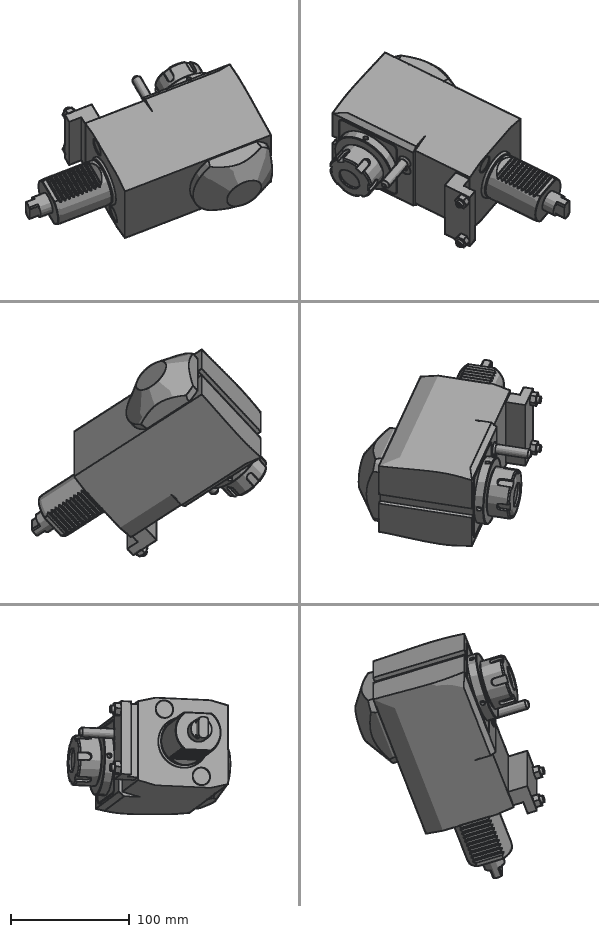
import cadquery as cq
import math


HALF_HEIGHT = 37.5
EDGE_HEIGHT = 33.73
BODY_LENGTH = 136.0
BODY_HALF_WIDTH = 39.0
CHAMFER_START_X = 23.8
HEAD_START_Y = 55.0
HEAD_FACE_X = -42.0
HEAD_CHAMFER_X = -37.4
CHAMFER_SLOPE = (HALF_HEIGHT - EDGE_HEIGHT) / (BODY_HALF_WIDTH - CHAMFER_START_X)
REAR_EDGE_END_Y = BODY_LENGTH - (HALF_HEIGHT - EDGE_HEIGHT) / CHAMFER_SLOPE
REAR_EDGE_CURVE = [
    (HEAD_FACE_X, REAR_EDGE_END_Y),
    (HEAD_CHAMFER_X, 123.9),
    (-25.8, 130.7),
    (-12.7, 132.9),
    (-0.4, 131.2),
    (CHAMFER_START_X, 124.2),
    (BODY_HALF_WIDTH, REAR_EDGE_END_Y),
]
KEYWAY_WIDTH = 9.4
KEYWAY_DEPTH = 4.0
PLUG_RADIUS = 7.5
PLUG_RECESS = 1.0
PLUG_X = 16.0
PLUG_Z = 28.0

SHANK_RADIUS = 20.0
SHANK_LENGTH = 53.0
SHANK_RELIEF_RADIUS = 19.5
SHANK_RELIEF_END = 3.3
SHANK_TIP_RADIUS = 19.6
SHANK_TAPER_LENGTH = 3.2
SHANK_TIP_CHAMFER = 0.4
COLLAR_RADIUS = 21.5
COLLAR_LENGTH = 2.0
COLLAR_ROUNDING = 0.9
FLAT_Z = 16.0
TOOTH_COUNT = 10
TOOTH_PITCH = 4.0
TOOTH_DEPTH = 1.4
TOOTH_LAND = (TOOTH_PITCH - 2 * TOOTH_DEPTH) / 2
FIRST_ROOT_Y = -11.5
TENON_RADIUS = 9.0
TENON_STEP_Y = -64.0
TENON_TIP_Y = -72.0
TONGUE_HALF_WIDTH = 4.1
TONGUE_ROOT_FILLET = 0.8
TONGUE_TIP_HALF_WIDTH = 3.15
TONGUE_FLAT_HALF_HEIGHT = 6.6

SPINDLE_Y = 100.0
FLANGE_RADIUS = 28.5
FLANGE_FACE_X = -50.2
FLANGE_CHAMFER = 0.6
FLANGE_HOLE_RADIUS = 2.0
FLANGE_HOLE_DEPTH = 4.0
FLANGE_HOLE_COUNT = 4
DRILL_POINT_ANGLE = 30.0
NECK_RADIUS = 19.5
NUT_RADIUS = 21.0
NUT_BACK_X = -51.0
NUT_CHAMFER_X = -68.8
NUT_SHOULDER_X = -70.2
NUT_SHOULDER_RADIUS = 20.0
NUT_FACE_X = -71.5
NUT_FACE_RADIUS = 15.3
COLLET_BORE_RADIUS = 10.2
COLLET_BORE_DEPTH = 2.0
SLOT_COUNT = 6
FIRST_SLOT_ANGLE = 90.0
SLOT_WIDTH = 6.5
SLOT_FLOOR_RADIUS = 18.1
SHORT_SLOT_END_X = -59.6
LONG_SLOT_END_X = -57.4

COVER_START_Y = 71.3
COVER_END_Y = 129.6
COVER_HALF_HEIGHT = 31.4
COVER_CORNER = 5.0
SEAM_WIDTH = 0.6
SEAM_DEPTH = 0.3
PIN_Y = 63.4
PIN_Z = 17.3
PIN_RADIUS = 4.0
PIN_TIP_X = -74.14
PIN_TIP_RADIUS = 2.1
PIN_TIP_LENGTH = 2.1
PIN_BASE_RADIUS = 5.9
PIN_BASE_LENGTH = 1.8
SCREW_Z = 7.6
SCREW_RECESS = 0.3
SCREW_SOCKET_ACROSS = 3.5
SCREW_SOCKET_DEPTH = 2.0

BRACKET_HALF_HEIGHT = 31.2
BRACKET_FACE_X = -56.0
BRACKET_INNER_X = -47.7
BRACKET_TOP_Y = 14.2
BRACKET_STEP_Y = 0.5
BRACKET_END_Y = -10.8
BOLT_Y = -5.0
BOLT_Z = 25.0
BOLT_NUT_ACROSS = 10.0
BOLT_NUT_THICKNESS = 5.0
BOLT_RADIUS = 3.0
BOLT_PROJECTION = 8.2
BOLT_CHAMFER = 0.5
BOLT_SOCKET_ACROSS = 3.0
BOLT_SOCKET_DEPTH = 1.5

CAP_RADIUS = 39.6
CAP_RIM_X = 45.2
CAP_FACE_X = 62.0
CAP_FACE_RADIUS = 16.0
CAP_TOP_Y = 131.5
CAP_HALF_HEIGHT = 32.4
CAP_SLOPE_START_X = 41.4
CAP_SLOPE = 0.235

OVERLAP = 2.0


def box(x0, x1, y0, y1, z0, z1):
    """Box given by its limits."""
    return cq.Workplane("XY").box(x1 - x0, y1 - y0, z1 - z0, centered=False).translate((x0, y0, z0))


def disc_x(x0, x1, radius, y, z):
    """Cylinder along X between x0 and x1."""
    return cq.Workplane("YZ", origin=(x0, y, z)).circle(radius).extrude(x1 - x0)


def hexagon_x(x0, x1, across_flats, y, z):
    """Hexagonal prism along X with two corners on the Y direction."""
    across_corners = across_flats / math.cos(math.pi / 6)
    return cq.Workplane("YZ", origin=(x0, y, z)).polygon(6, across_corners).extrude(x1 - x0)


def turned_x(profile, y, z):
    """Solid turned about an axis along X; profile points are (x, radius)."""
    outline = cq.Workplane("XY").polyline(profile).close()
    return outline.revolve(360, (0, 0, 0), (1, 0, 0)).translate((0, y, z))


def both_sides(solid):
    """The solid together with its mirror image across the XY plane."""
    return solid.union(solid.mirror("XY"))


def prism_y(section, y0, y1):
    """Prism along Y; section points are (x, z)."""
    return cq.Workplane("XZ", origin=(0, y0, 0)).polyline(section).close().extrude(y0 - y1)


def symmetric_section(upper):
    """Close an upper half outline with its mirror image below Z = 0."""
    return upper + [(x, -z) for x, z in reversed(upper)]


def rear_edge_cutter():
    """Material above the rear slope, swept down from the curved rear edge of the top face."""
    outside_y = BODY_LENGTH + OVERLAP
    region = (
        cq.Workplane("XY", origin=(0, 0, HALF_HEIGHT))
        .moveTo(*REAR_EDGE_CURVE[0])
        .spline(REAR_EDGE_CURVE[1:], includeCurrent=True)
        .lineTo(BODY_HALF_WIDTH, outside_y)
        .lineTo(HEAD_FACE_X, outside_y)
        .close()
    )
    run = outside_y - REAR_EDGE_END_Y
    direction = cq.Vector(0, run, -run * CHAMFER_SLOPE)
    return cq.Workplane(cq.Solid.extrudeLinear(region.val(), [], direction))


def housing():
    lower_upper_half = [
        (-BODY_HALF_WIDTH, EDGE_HEIGHT),
        (-CHAMFER_START_X, HALF_HEIGHT),
        (CHAMFER_START_X, HALF_HEIGHT),
        (BODY_HALF_WIDTH, EDGE_HEIGHT),
    ]
    head_upper_half = [
        (HEAD_FACE_X, EDGE_HEIGHT),
        (HEAD_CHAMFER_X, HALF_HEIGHT),
        (CHAMFER_START_X, HALF_HEIGHT),
        (BODY_HALF_WIDTH, EDGE_HEIGHT),
    ]
    lower = prism_y(symmetric_section(lower_upper_half), 0, HEAD_START_Y)
    head = prism_y(symmetric_section(head_upper_half), HEAD_START_Y, BODY_LENGTH)
    head = head.cut(both_sides(rear_edge_cutter()))
    return lower.union(head)


def keyway():
    """Slot across the rear face, running the full width."""
    half = KEYWAY_WIDTH / 2
    return box(HEAD_FACE_X, BODY_HALF_WIDTH, BODY_LENGTH - KEYWAY_DEPTH, BODY_LENGTH, -half, half)


def plug_recesses():
    """Two shallow round recesses on the shank-side face, placed diagonally."""
    centres = [(-PLUG_X, PLUG_Z), (PLUG_X, -PLUG_Z)]
    return cq.Workplane("XZ").pushPoints(centres).circle(PLUG_RADIUS).extrude(-PLUG_RECESS)


def rack_cutter():
    """Flat with 45 degree run-out and trapezoidal teeth on the +Z side of the shank."""
    runout_end = FIRST_ROOT_Y + (TOOTH_PITCH + TOOTH_LAND) / 2
    rise = SHANK_RADIUS - FLAT_Z
    tip = -SHANK_LENGTH - OVERLAP
    outline = [(runout_end + rise, SHANK_RADIUS), (runout_end, FLAT_Z)]
    for index in range(TOOTH_COUNT):
        root = FIRST_ROOT_Y - index * TOOTH_PITCH
        half_root = TOOTH_LAND / 2
        half_mouth = half_root + TOOTH_DEPTH
        outline += [
            (root + half_mouth, FLAT_Z),
            (root + half_root, FLAT_Z - TOOTH_DEPTH),
            (root - half_root, FLAT_Z - TOOTH_DEPTH),
            (root - half_mouth, FLAT_Z),
        ]
    outline += [(tip, FLAT_Z), (tip, SHANK_RADIUS)]
    return cq.Workplane("YZ").polyline(outline).close().extrude(SHANK_RADIUS, both=True)


def shank():
    profile = [
        (0, OVERLAP),
        (SHANK_RELIEF_RADIUS, OVERLAP),
        (SHANK_RELIEF_RADIUS, -SHANK_RELIEF_END),
        (SHANK_RADIUS, -SHANK_RELIEF_END),
        (SHANK_RADIUS, SHANK_TAPER_LENGTH - SHANK_LENGTH),
        (SHANK_TIP_RADIUS, -SHANK_LENGTH),
        (0, -SHANK_LENGTH),
    ]
    turned = cq.Workplane("XY").polyline(profile).close().revolve(360, (0, 0, 0), (0, 1, 0))
    collar = cq.Workplane("XZ").circle(COLLAR_RADIUS).extrude(COLLAR_LENGTH)
    collar = collar.faces("<Y").edges().fillet(COLLAR_ROUNDING)
    toothed = turned.cut(both_sides(rack_cutter()))
    toothed = toothed.faces("<Y").edges().chamfer(SHANK_TIP_CHAMFER)
    return toothed.union(collar)


def drive_tenon():
    """Round stub ending in a flat tongue with bevelled corners."""
    start_y = -SHANK_LENGTH + OVERLAP
    stub = cq.Workplane("XZ", origin=(0, start_y, 0)).circle(TENON_RADIUS).extrude(start_y - TENON_TIP_Y)
    bevel_end_z = math.sqrt(TENON_RADIUS**2 - TONGUE_TIP_HALF_WIDTH**2)
    upper_half = [
        (-TONGUE_HALF_WIDTH, TONGUE_FLAT_HALF_HEIGHT),
        (-TONGUE_TIP_HALF_WIDTH, bevel_end_z),
        (-TONGUE_TIP_HALF_WIDTH, TENON_RADIUS),
        (TONGUE_TIP_HALF_WIDTH, TENON_RADIUS),
        (TONGUE_TIP_HALF_WIDTH, bevel_end_z),
        (TONGUE_HALF_WIDTH, TONGUE_FLAT_HALF_HEIGHT),
    ]
    keep = prism_y(symmetric_section(upper_half), TENON_TIP_Y, TENON_STEP_Y)
    reach = TENON_RADIUS + OVERLAP
    around = box(-reach, reach, TENON_TIP_Y, TENON_STEP_Y, -reach, reach).cut(keep)
    stub = stub.cut(around)
    margin = TONGUE_ROOT_FILLET
    root_edges = cq.selectors.BoxSelector(
        (-TONGUE_HALF_WIDTH - margin, TENON_STEP_Y - margin, -margin),
        (TONGUE_HALF_WIDTH + margin, TENON_STEP_Y + margin, margin),
    )
    return stub.edges(root_edges).fillet(TONGUE_ROOT_FILLET)


def spindle_flange():
    profile = [
        (HEAD_FACE_X + OVERLAP, 0),
        (HEAD_FACE_X + OVERLAP, FLANGE_RADIUS),
        (FLANGE_FACE_X + FLANGE_CHAMFER, FLANGE_RADIUS),
        (FLANGE_FACE_X, FLANGE_RADIUS - FLANGE_CHAMFER),
        (FLANGE_FACE_X, 0),
    ]
    flange = turned_x(profile, 0, 0)
    hole_x = (HEAD_FACE_X + FLANGE_FACE_X) / 2
    hole_floor = FLANGE_RADIUS - FLANGE_HOLE_DEPTH
    point_depth = FLANGE_HOLE_RADIUS * math.tan(math.radians(DRILL_POINT_ANGLE))
    hole_profile = [
        (0, hole_floor - point_depth),
        (FLANGE_HOLE_RADIUS, hole_floor),
        (FLANGE_HOLE_RADIUS, FLANGE_RADIUS + OVERLAP),
        (0, FLANGE_RADIUS + OVERLAP),
    ]
    hole = cq.Workplane("XZ").polyline(hole_profile).close().revolve(360, (0, 0, 0), (0, 1, 0))
    hole = hole.translate((hole_x, 0, 0))
    for index in range(FLANGE_HOLE_COUNT):
        angle = index * 360 / FLANGE_HOLE_COUNT
        flange = flange.cut(hole.rotate((0, 0, 0), (1, 0, 0), angle))
    return flange.translate((0, SPINDLE_Y, 0))


def wrench_slot(end_x):
    """Flat-bottomed slot on the +Z side of the nut with a round end at end_x."""
    half_width = SLOT_WIDTH / 2
    return (
        cq.Workplane("XY", origin=(0, 0, SLOT_FLOOR_RADIUS))
        .moveTo(NUT_FACE_X - OVERLAP, -half_width)
        .lineTo(end_x - half_width, -half_width)
        .threePointArc((end_x, 0), (end_x - half_width, half_width))
        .lineTo(NUT_FACE_X - OVERLAP, half_width)
        .close()
        .extrude(NUT_RADIUS)
    )


def collet_nut():
    profile = [
        (FLANGE_FACE_X + OVERLAP, 0),
        (FLANGE_FACE_X + OVERLAP, NECK_RADIUS),
        (NUT_BACK_X, NECK_RADIUS),
        (NUT_BACK_X, NUT_RADIUS),
        (NUT_CHAMFER_X, NUT_RADIUS),
        (NUT_SHOULDER_X, NUT_SHOULDER_RADIUS),
        (NUT_FACE_X, NUT_FACE_RADIUS),
        (NUT_FACE_X, COLLET_BORE_RADIUS),
        (NUT_FACE_X + COLLET_BORE_DEPTH, COLLET_BORE_RADIUS),
        (NUT_FACE_X + COLLET_BORE_DEPTH, 0),
    ]
    nut = turned_x(profile, 0, 0)
    for index in range(SLOT_COUNT):
        on_y_direction = index % (SLOT_COUNT // 2) == 0
        slot = wrench_slot(SHORT_SLOT_END_X if on_y_direction else LONG_SLOT_END_X)
        angle = FIRST_SLOT_ANGLE + index * 360 / SLOT_COUNT
        nut = nut.cut(slot.rotate((0, 0, 0), (1, 0, 0), angle))
    return nut.translate((0, SPINDLE_Y, 0))


def cover_seam():
    """Narrow groove tracing the rounded cover outline on the head face."""
    middle_y = (COVER_START_Y + COVER_END_Y) / 2
    length = COVER_END_Y - COVER_START_Y
    height = 2 * COVER_HALF_HEIGHT
    plane = cq.Workplane("YZ", origin=(HEAD_FACE_X, middle_y, 0))
    outer = plane.rect(length, height).extrude(SEAM_DEPTH).edges("|X").fillet(COVER_CORNER)
    inner = plane.rect(length - 2 * SEAM_WIDTH, height - 2 * SEAM_WIDTH).extrude(SEAM_DEPTH)
    return outer.cut(inner.edges("|X").fillet(COVER_CORNER - SEAM_WIDTH))


def coolant_pin():
    profile = [
        (HEAD_FACE_X + OVERLAP, 0),
        (HEAD_FACE_X + OVERLAP, PIN_BASE_RADIUS),
        (HEAD_FACE_X, PIN_BASE_RADIUS),
        (HEAD_FACE_X - PIN_BASE_LENGTH, PIN_RADIUS),
        (PIN_TIP_X + PIN_TIP_LENGTH, PIN_RADIUS),
        (PIN_TIP_X, PIN_TIP_RADIUS),
        (PIN_TIP_X, 0),
    ]
    return turned_x(profile, PIN_Y, PIN_Z)


def plug_screw_cut():
    """Slightly sunk round screw head with a hexagon socket, beside the pin."""
    floor_x = HEAD_FACE_X + SCREW_RECESS
    sunk = disc_x(HEAD_FACE_X, floor_x, (PIN_Z - SCREW_Z) - PIN_RADIUS, PIN_Y, SCREW_Z)
    socket = hexagon_x(HEAD_FACE_X, floor_x + SCREW_SOCKET_DEPTH, SCREW_SOCKET_ACROSS, PIN_Y, SCREW_Z)
    return sunk.union(socket)


def bracket():
    """L-shaped stop plate standing off the lower housing face."""
    inside_x = -BODY_HALF_WIDTH + OVERLAP
    foot = box(BRACKET_FACE_X, inside_x, BRACKET_STEP_Y, BRACKET_TOP_Y,
               -BRACKET_HALF_HEIGHT, BRACKET_HALF_HEIGHT)
    lip = box(BRACKET_FACE_X, BRACKET_INNER_X, BRACKET_END_Y, BRACKET_TOP_Y,
              -BRACKET_HALF_HEIGHT, BRACKET_HALF_HEIGHT)
    return foot.union(lip)


def bracket_bolt():
    """Stud with its hexagon nut on the bracket face."""
    inside_x = BRACKET_FACE_X + OVERLAP
    nut = hexagon_x(BRACKET_FACE_X - BOLT_NUT_THICKNESS, inside_x, BOLT_NUT_ACROSS, BOLT_Y, BOLT_Z)
    tip_x = BRACKET_FACE_X - BOLT_PROJECTION
    stud = disc_x(tip_x, inside_x, BOLT_RADIUS, BOLT_Y, BOLT_Z).faces("<X").chamfer(BOLT_CHAMFER)
    socket = hexagon_x(tip_x, tip_x + BOLT_SOCKET_DEPTH, BOLT_SOCKET_ACROSS, BOLT_Y, BOLT_Z)
    return nut.union(stud).cut(socket)


def bearing_cap():
    """Coned cap trimmed by a flat at the rear and by sloped flats above and below."""
    inside_x = BODY_HALF_WIDTH - OVERLAP
    profile = [
        (inside_x, 0),
        (inside_x, CAP_RADIUS),
        (CAP_RIM_X, CAP_RADIUS),
        (CAP_FACE_X, CAP_FACE_RADIUS),
        (CAP_FACE_X, 0),
    ]
    cone = turned_x(profile, SPINDLE_Y, 0)
    face_height = CAP_HALF_HEIGHT - CAP_SLOPE * (CAP_FACE_X - CAP_SLOPE_START_X)
    upper_half = [
        (inside_x, CAP_HALF_HEIGHT),
        (CAP_SLOPE_START_X, CAP_HALF_HEIGHT),
        (CAP_FACE_X, face_height),
    ]
    envelope = prism_y(symmetric_section(upper_half), SPINDLE_Y - CAP_RADIUS, CAP_TOP_Y)
    return cone.intersect(envelope)


result = housing().union(bearing_cap())
result = result.cut(keyway()).cut(plug_recesses())
result = result.cut(cover_seam()).cut(plug_screw_cut())
result = result.union(shank()).union(drive_tenon())
result = result.union(spindle_flange()).union(collet_nut()).union(coolant_pin())
result = result.union(bracket()).union(both_sides(bracket_bolt()))